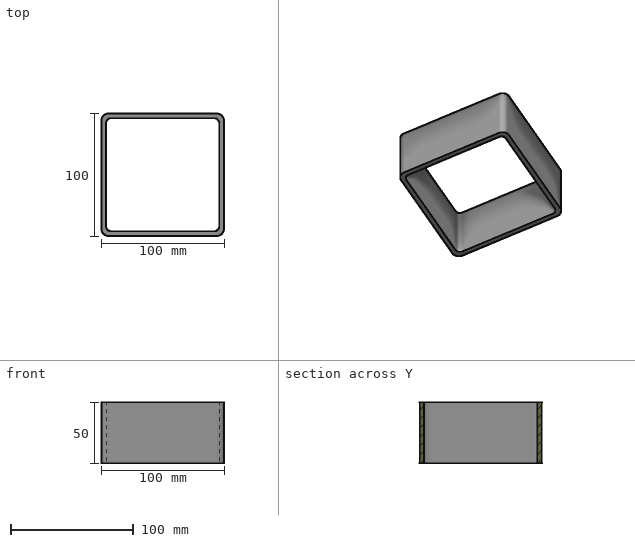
import cadquery as cq

side = 100.0
height = 50.0
wall = 4.0
outer_corner_radius = 6.0
inner_corner_radius = 4.0


def rounded_square_prism(width, corner_radius):
    """Square prism of the tube height with its vertical edges rounded."""
    prism = cq.Workplane("XY").box(width, width, height)
    return prism.edges("|Z").fillet(corner_radius)


outer_body = rounded_square_prism(side, outer_corner_radius)
opening = rounded_square_prism(side - 2 * wall, inner_corner_radius)

result = outer_body.cut(opening)